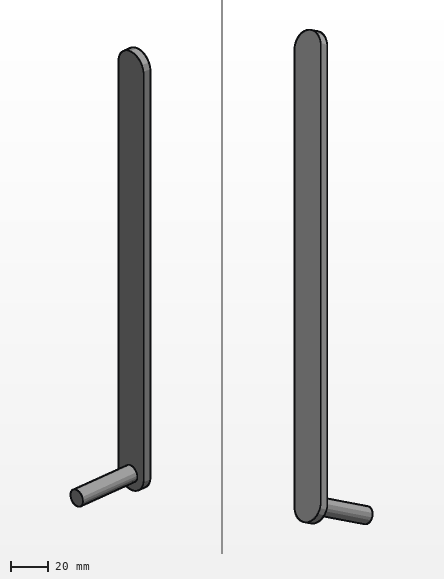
import cadquery as cq

bar_length = 270.0
bar_width = 20.0
total_depth = 45.0
bar_thickness = 5.0
pin_diameter = 10.0

end_radius = bar_width / 2
pin_length = total_depth - bar_thickness
pin_height = end_radius - bar_length / 2


def make_bar():
    """Upright flat bar with full-round ends; its front face lies on Y = 0."""
    return (
        cq.Workplane("XZ")
        .slot2D(bar_length, bar_width, angle=90)
        .extrude(-bar_thickness)
    )


def make_pin():
    """Round pin projecting toward -Y from the front face of the bar."""
    return (
        cq.Workplane("XZ")
        .center(0, pin_height)
        .circle(pin_diameter / 2)
        .extrude(pin_length)
    )


result = make_bar().union(make_pin())